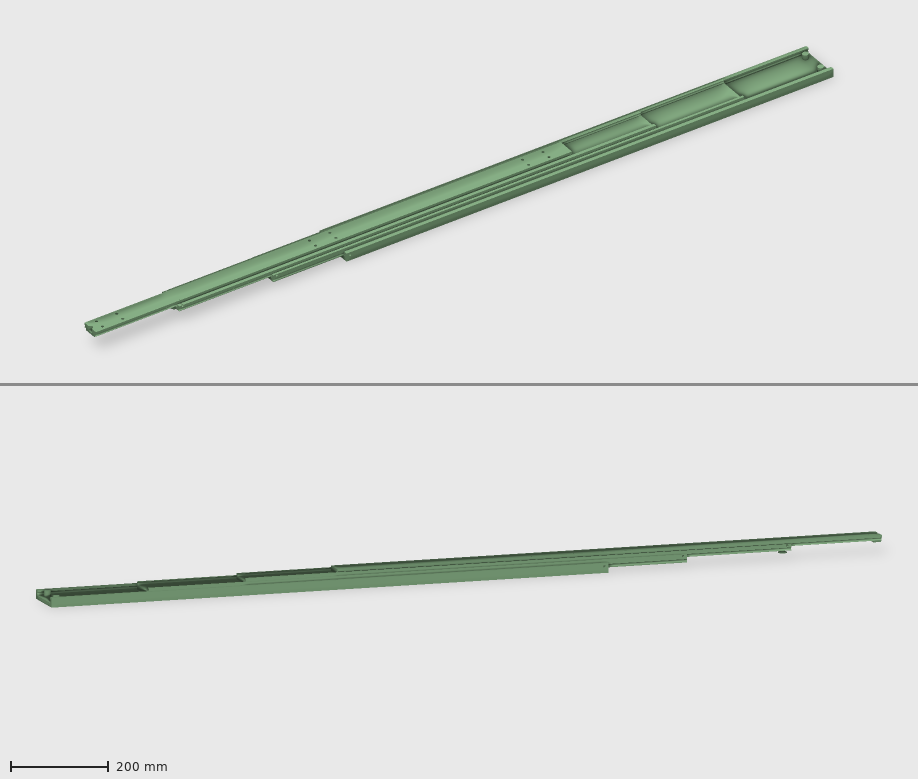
import cadquery as cq


housing_height = 20.0
rail_rise = 17.0 / 3.0
running_gap = 1.0
housing_floor = 8.0
middle_floor = 9.0
upper_floor = 6.0

middle_bottom = housing_floor + running_gap
middle_top = housing_height + rail_rise
upper_bottom = middle_bottom + middle_floor + running_gap
upper_top = middle_top + rail_rise
bar_bottom = upper_bottom + upper_floor + running_gap
bar_top = upper_top + rail_rise

housing_width = 100.0
housing_wall = 9.0
middle_wall = 5.5
upper_wall = 8.5
side_play = 4 * running_gap
housing_inside = housing_width - 2 * housing_wall
middle_width = housing_inside - side_play
middle_inside = middle_width - 2 * middle_wall
upper_width = middle_inside - side_play
upper_inside = upper_width - 2 * upper_wall
bar_width = upper_inside - side_play

housing_front = -1200.0
middle_back, middle_front = -213.0, -1373.0
upper_back, upper_front = -425.0, -1600.0
bar_back, bar_front = -625.0, -1798.0

race_radius = 2.5
lower_race_z = 13.5
middle_race_z = 22.5
upper_race_z = 29.0

stop_hole_diameter = 5.0
stop_hole_setback = 9.0

bumper_diameter = 14.0
bumper_offset = 28.0
bumper_setback = 17.0

stud_head_diameter = 18.0
stud_head_thickness = 2.0
stud_head_bottom = 9.0
stud_neck_diameter = 10.0

fixing_diameter = 6.5
fixing_half_spacing = 11.0
fixing_pair_pitch = 50.0
fixing_group_pitch = 525.0
fixing_front_margin = 23.0
fixing_groups = 3
lug_length = 16.0
lug_width = 30.0
lug_drop = 4.5
end_notch_radius = 6.0


def block(width, y_back, y_front, z_bottom, z_top):
    """Straight bar centred on X = 0."""
    length = y_back - y_front
    centre_y = (y_back + y_front) / 2
    return (
        cq.Workplane("XY", origin=(0, centre_y, z_bottom))
        .rect(width, length)
        .extrude(z_top - z_bottom)
    )


def races(width, y_back, y_front, z):
    """Pair of round bars along Y that cut a race into both sides at the given width."""
    return (
        cq.Workplane("XZ", origin=(0, y_back, z))
        .pushPoints([(-width / 2, 0), (width / 2, 0)])
        .circle(race_radius)
        .extrude(y_back - y_front)
    )


def channel(width, inside, y_back, y_front, z_bottom, floor, z_top, inner_race_z):
    """Upward-open channel with inner ball races and a stop hole through each wall."""
    body = block(width, y_back, y_front, z_bottom, z_top)
    body = body.cut(block(inside, y_back, y_front, z_bottom + floor, z_top))
    body = body.cut(races(inside, y_back, y_front, inner_race_z))
    stop_holes = (
        cq.Workplane("YZ", origin=(-width / 2, y_front + stop_hole_setback, inner_race_z))
        .circle(stop_hole_diameter / 2)
        .extrude(width)
    )
    return body.cut(stop_holes)


def make_housing():
    body = channel(
        housing_width, housing_inside, 0, housing_front,
        0, housing_floor, housing_height, lower_race_z,
    )
    bumpers = (
        cq.Workplane("XY", origin=(0, -bumper_setback, housing_floor))
        .pushPoints([(-bumper_offset, 0), (bumper_offset, 0)])
        .circle(bumper_diameter / 2)
        .extrude(housing_height - housing_floor)
    )
    return body.union(bumpers)


def make_middle_rail():
    body = channel(
        middle_width, middle_inside, middle_back, middle_front,
        middle_bottom, middle_floor, middle_top, middle_race_z,
    )
    return body.cut(races(middle_width, middle_back, middle_front, lower_race_z))


def make_upper_rail():
    body = channel(
        upper_width, upper_inside, upper_back, upper_front,
        upper_bottom, upper_floor, upper_top, upper_race_z,
    )
    body = body.cut(races(upper_width, upper_back, upper_front, middle_race_z))
    stud_y = upper_front + stud_head_diameter / 2
    head = (
        cq.Workplane("XY", origin=(0, stud_y, stud_head_bottom))
        .circle(stud_head_diameter / 2)
        .extrude(stud_head_thickness)
    )
    neck = (
        cq.Workplane("XY", origin=(0, stud_y, stud_head_bottom))
        .circle(stud_neck_diameter / 2)
        .extrude(upper_bottom - stud_head_bottom)
    )
    return body.union(neck).union(head)


def make_bar():
    body = block(bar_width, bar_back, bar_front, bar_bottom, bar_top)
    body = body.cut(races(bar_width, bar_back, bar_front, upper_race_z))
    lug = block(lug_width, bar_front + lug_length, bar_front, bar_bottom - lug_drop, bar_bottom)
    body = body.union(lug)
    fixing_points = [
        (x, bar_front + fixing_front_margin + group * fixing_group_pitch + pair * fixing_pair_pitch)
        for group in range(fixing_groups)
        for pair in range(2)
        for x in (-fixing_half_spacing, fixing_half_spacing)
    ]
    fixing_holes = (
        cq.Workplane("XY", origin=(0, 0, bar_bottom))
        .pushPoints(fixing_points)
        .circle(fixing_diameter / 2)
        .extrude(bar_top - bar_bottom)
    )
    end_notch = (
        cq.Workplane("XY", origin=(0, bar_front, bar_bottom))
        .circle(end_notch_radius)
        .extrude(bar_top - bar_bottom)
    )
    return body.cut(fixing_holes).cut(end_notch)


housing = make_housing()
middle_rail = make_middle_rail()
upper_rail = make_upper_rail()
bar = make_bar()

result = cq.Compound.makeCompound(
    [housing.val(), middle_rail.val(), upper_rail.val(), bar.val()]
)